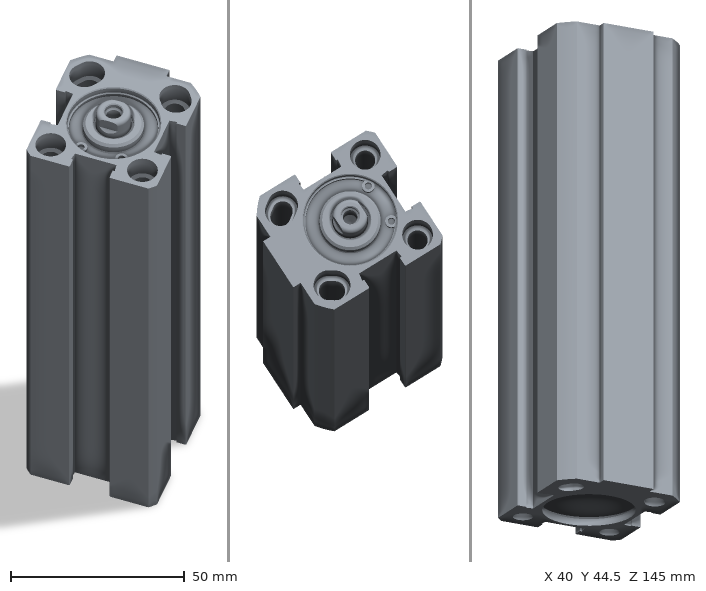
import cadquery as cq
import math


total_height = 145.0
rod_projection = 5.2
housing_length = total_height - rod_projection
housing_half_width = 20.0
housing_back_y = 22.0
corner_round_radius = 27.0

pad_half_width = 8.1
pad_back_y = 24.5

slot_half_width = 6.1
slot_undercut = 0.6
slot_undercut_slant = 0.3
slot_lip_thickness = 2.9
slot_floor = 14.8
slot_lip_chamfer = 0.22

mounting_offset = 14.0
mounting_diameter = 5.8
counterbore_diameter = 8.8
counterbore_depth = 6.4
back_slot_shift_x = 1.0
back_slot_shift_y = 1.5

bore_diameter = 27.0
mouth_diameter = 27.5
mouth_chamfer = (mouth_diameter - bore_diameter) / 2
groove_start = 2.0
groove_width = 1.0
groove_end = groove_start + groove_width
groove_wall = 0.22
groove_radius = slot_floor - groove_wall
bore_depth = 17.4

cover_neck_diameter = 17.5
cover_neck_chamfer = 0.7
cover_neck_foot = 0.3
cover_bore_diameter = 10.5
wiper_seat_diameter = 11.5
wiper_seat_depth = 0.7
wiper_mouth_diameter = 12.2
wiper_mouth_chamfer = (wiper_mouth_diameter - wiper_seat_diameter) / 2

ring_inner_radius = 12.9
eyelet_center_radius = 11.9
eyelet_angle = 31.5
eyelet_diameter = 3.6
eyelet_hole_diameter = 2.0

rod_diameter = 10.0
rod_top_round = 1.2
rod_across_flats = 8.3
flat_length = 3.5
thread_mouth_diameter = 5.8
thread_diameter = 5.2
thread_depth = 1.5
drill_diameter = 4.2
drill_depth = 7.2
drill_tip_half_angle = 59.0


def cylinder(diameter, top_z, bottom_z):
    return cq.Workplane("XY", origin=(0, 0, bottom_z)).circle(diameter / 2).extrude(top_z - bottom_z)


def cone(top_diameter, bottom_diameter, top_z, bottom_z):
    base = cq.Vector(0, 0, bottom_z)
    return cq.Workplane(cq.Solid.makeCone(bottom_diameter / 2, top_diameter / 2, top_z - bottom_z, base))


def box(x_min, x_max, y_min, y_max):
    """A block as long as the housing."""
    width = x_max - x_min
    depth = y_max - y_min
    block = cq.Workplane("XY").box(width, depth, housing_length, centered=False)
    return block.translate((x_min, y_min, -housing_length))


def t_slot_cutter(angle):
    """A T-slot that opens towards -Y, turned about Z by the angle."""
    opening_half_width = slot_half_width + slot_lip_chamfer
    undercut_half_width = slot_half_width + slot_undercut
    lip_y = slot_lip_thickness - housing_half_width
    right_side = [
        (opening_half_width, -housing_half_width),
        (slot_half_width, slot_lip_chamfer - housing_half_width),
        (slot_half_width, lip_y),
        (undercut_half_width, lip_y),
        (undercut_half_width - slot_undercut_slant, -slot_floor),
    ]
    left_side = [(-x, y) for x, y in reversed(right_side)]
    cutter = cq.Workplane("XY").polyline(right_side + left_side).close().extrude(-housing_length)
    return cutter.rotate((0, 0, 0), (0, 0, 1), angle)


def mounting_cutter(diameter, depth, side):
    """Two corner holes on one side: a round one in front and one lengthened sideways at the back."""
    front = (side * mounting_offset, -mounting_offset)
    back = (side * mounting_offset, mounting_offset)
    slot_length = math.hypot(back_slot_shift_x, back_slot_shift_y)
    slot_angle = math.degrees(math.atan2(back_slot_shift_y, -side * back_slot_shift_x))
    slot_center = (back[0] - side * back_slot_shift_x / 2, back[1] + back_slot_shift_y / 2)
    round_hole = cq.Workplane("XY").center(*front).circle(diameter / 2).extrude(-depth)
    long_start = cq.Workplane("XY").center(*slot_center)
    long_hole = long_start.slot2D(slot_length + diameter, diameter, slot_angle).extrude(-depth)
    return round_hole.union(long_hole)


def bore_mouth(depth):
    """The top recess: a bore down to the depth, with a retaining ring groove near its mouth."""
    bore = cylinder(bore_diameter, 0, -depth)
    return bore.union(cylinder(2 * groove_radius, -groove_start, -groove_end))


def make_housing():
    half = housing_half_width
    outline = box(-half, half, -half, housing_back_y)
    outline = outline.intersect(cylinder(2 * corner_round_radius, 0, -housing_length))
    housing = outline.union(box(-pad_half_width, pad_half_width, 0, pad_back_y))
    for angle in (-90, 0, 90):
        housing = housing.cut(t_slot_cutter(angle))

    for side in (-1, 1):
        housing = housing.cut(mounting_cutter(mounting_diameter, housing_length, side))
        housing = housing.cut(mounting_cutter(counterbore_diameter, counterbore_depth, side))

    housing = housing.cut(bore_mouth(bore_depth))
    housing = housing.cut(cone(mouth_diameter, bore_diameter, 0, -mouth_chamfer))
    bottom_recess = bore_mouth(groove_end).mirror("XY").translate((0, 0, -housing_length))
    return housing.cut(bottom_recess)


def make_rod_cover():
    neck = cylinder(cover_neck_diameter, 0, -bore_depth).faces(">Z").chamfer(cover_neck_chamfer)
    cover = neck.union(cylinder(bore_diameter, -groove_end, -bore_depth))
    foot_diameter = cover_neck_diameter + 2 * cover_neck_foot
    cover = cover.union(cone(cover_neck_diameter, foot_diameter, cover_neck_foot - groove_end, -groove_end))
    cover = cover.cut(cylinder(cover_bore_diameter, 0, -bore_depth))
    cover = cover.cut(cylinder(wiper_seat_diameter, 0, -wiper_seat_depth))
    return cover.cut(cone(wiper_mouth_diameter, wiper_seat_diameter, 0, -wiper_mouth_chamfer))


def make_retaining_ring():
    """An open ring whose two ends carry eyelets for the pliers."""
    ring = cylinder(2 * groove_radius, -groove_start, -groove_end)
    ring = ring.cut(cylinder(2 * ring_inner_radius, -groove_start, -groove_end))
    angle = math.radians(eyelet_angle)
    eyelet_x = eyelet_center_radius * math.sin(angle)
    eyelet_y = -eyelet_center_radius * math.cos(angle)
    reach = 2 * groove_radius
    gap_x = reach * math.sin(angle)
    gap_y = -reach * math.cos(angle)
    gap = cq.Workplane("XY").polyline([(0, 0), (-gap_x, gap_y), (gap_x, gap_y)]).close().extrude(-groove_end)
    ring = ring.cut(gap)
    for side in (-1, 1):
        place = (side * eyelet_x, eyelet_y, 0)
        ring = ring.union(cylinder(eyelet_diameter, -groove_start, -groove_end).translate(place))
        ring = ring.cut(cylinder(eyelet_hole_diameter, -groove_start, -groove_end).translate(place))
    return ring


def make_piston_rod():
    top = rod_projection
    rod = cylinder(rod_diameter, top, -bore_depth).faces(">Z").edges().fillet(rod_top_round)

    flat_y = rod_across_flats / 2
    outer_y = rod_diameter / 2
    run_out = outer_y - flat_y
    flat_outline = [
        (flat_y, top),
        (flat_y, top - flat_length),
        (outer_y, top - flat_length - run_out),
        (outer_y, top),
    ]
    flat = cq.Workplane("YZ").polyline(flat_outline).close().extrude(rod_diameter / 2, both=True)
    rod = rod.cut(flat).cut(flat.mirror("XZ"))

    mouth_depth = (thread_mouth_diameter - thread_diameter) / 2
    taper_length = (thread_diameter - drill_diameter) / 2
    tip_length = drill_diameter / 2 / math.tan(math.radians(drill_tip_half_angle))
    thread_end = top - thread_depth
    drill_end = top - drill_depth
    rod = rod.cut(cone(thread_mouth_diameter, thread_diameter, top, top - mouth_depth))
    rod = rod.cut(cylinder(thread_diameter, top, thread_end))
    rod = rod.cut(cone(thread_diameter, drill_diameter, thread_end, thread_end - taper_length))
    rod = rod.cut(cylinder(drill_diameter, top, drill_end))
    return rod.cut(cone(drill_diameter, 0, drill_end, drill_end - tip_length))


housing = make_housing().solids()
rod_cover = make_rod_cover().solids()
retaining_ring = make_retaining_ring().solids()
piston_rod = make_piston_rod().solids()

result = cq.Compound.makeCompound([housing.val(), rod_cover.val(), retaining_ring.val(), piston_rod.val()])